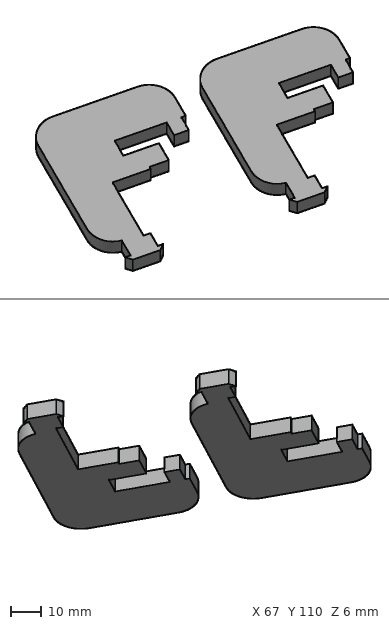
import cadquery as cq

thickness = 6.0
height = 50.0
corner_radius = 9.5

column_width = 18.0
tab_end_x = 24.0
tab_bottom_y = 43.0
tab_top_y = 48.4

slot_floor_y = 24.0
post_left_x = 25.0
post_top_x = 33.0
post_base_x = 34.0
post_step_y = 30.0
post_top_y = 37.0

foot_length = 58.0
foot_top_y = 16.0

plug_center_y = 13.5
plug_width = 10.0
plug_start_x = 59.0
barb_start_x = 65.0
barb_height = 2.0
barb_length = 2.0
plug_end_x = barb_start_x + barb_length
plug_bottom_y = plug_center_y - plug_width / 2
plug_top_y = plug_center_y + plug_width / 2

bracket_count = 2
bracket_pitch = 60.0


def block(x_start, y_start, x_end, y_end):
    """Rectangular block of full plate thickness between two opposite corners."""
    return cq.Workplane("XY").box(
        x_end - x_start, y_end - y_start, thickness, centered=False
    ).translate((x_start, y_start, 0))


def make_column():
    column = block(0, 0, column_width, height)
    column = column.edges("|Z and <X").fillet(corner_radius)
    return column.union(block(column_width, tab_bottom_y, tab_end_x, tab_top_y))


def make_post():
    lower = block(post_left_x, foot_top_y, post_base_x, post_step_y)
    upper = block(post_left_x, post_step_y, post_top_x, post_top_y)
    slot_floor = block(column_width, foot_top_y, post_left_x, slot_floor_y)
    return lower.union(upper).union(slot_floor)


def make_foot():
    """Arm with both lower corners rounded."""
    foot = block(0, 0, foot_length, foot_top_y)
    return foot.edges("|Z and <Y").edges("<X or >X").fillet(corner_radius)


def make_plug():
    """Neck leaving the foot, ending in a barb that tapers toward the tip."""
    upper_neck = block(plug_start_x, plug_center_y, barb_start_x, plug_top_y)
    lower_neck_start_x = foot_length - corner_radius
    lower_neck = block(lower_neck_start_x, plug_bottom_y, barb_start_x, foot_top_y)
    barb = (
        cq.Workplane("XY")
        .moveTo(barb_start_x, plug_bottom_y - barb_height)
        .lineTo(plug_end_x, plug_bottom_y)
        .lineTo(plug_end_x, plug_top_y)
        .lineTo(barb_start_x, plug_top_y + barb_height)
        .close()
        .extrude(thickness)
    )
    return lower_neck.union(upper_neck).union(barb)


def make_bracket(y_offset):
    bracket = make_column().union(make_foot()).union(make_post()).union(make_plug())
    return bracket.clean().translate((0, y_offset, 0))


brackets = [make_bracket(index * bracket_pitch) for index in range(bracket_count)]

result = cq.Compound.makeCompound([bracket.val() for bracket in brackets])